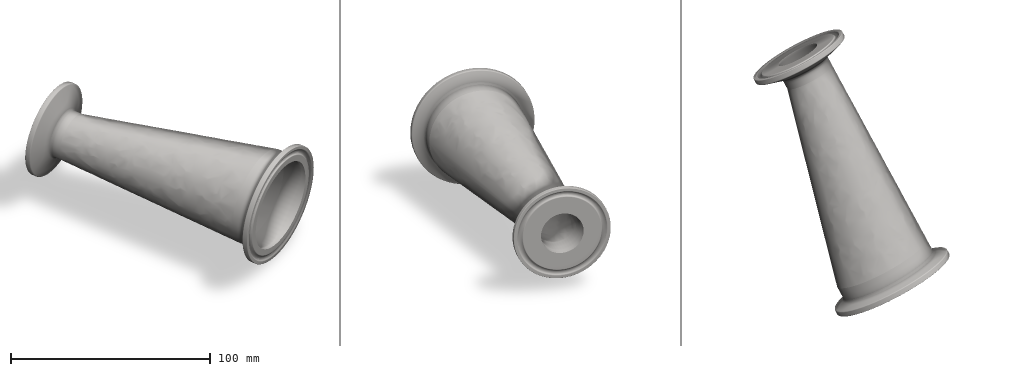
import cadquery as cq
import math


length = 127.0
wall = 1.7
ferrule_length = 12.7

small_flange_diameter = 50.4
small_tube_diameter = 25.4

large_flange_diameter = 63.9
large_tube_diameter = 50.8

rim_thickness = 2.8
back_angle = 20.0
rim_back_fillet = 0.6
rim_face_fillet = 0.3
neck_fillet = 1.3

groove_inset = 3.3
groove_width = 2.7
groove_depth = 1.0
groove_edge_fillet = 0.5

axis_shift = (large_tube_diameter - small_tube_diameter) / 2


def ring_edges(x, radius):
    """Selector for the edges in the plane at x, out to the given radius."""
    gap = 0.01
    reach = radius + gap
    return cq.selectors.BoxSelector((x - gap, -reach, -reach), (x + gap, reach, reach), boundingbox=True)


def gasket_groove(middle_radius):
    """Ring with a circular-arc section, sunk into the face at X = 0."""
    half_width = groove_width / 2
    return (
        cq.Workplane("XY")
        .moveTo(0, middle_radius - half_width)
        .threePointArc((groove_depth, middle_radius), (0, middle_radius + half_width))
        .close()
        .revolve(360, (0, 0, 0), (1, 0, 0))
    )


def ferrule(flange_diameter, tube_diameter):
    """Solid ferrule along X with its sealing face at X = 0, without the bore."""
    flange_radius = flange_diameter / 2
    tube_radius = tube_diameter / 2
    back_length = (flange_radius - tube_radius) * math.tan(math.radians(back_angle))
    neck_start = rim_thickness + back_length
    body = (
        cq.Workplane("XY")
        .polyline([
            (0, 0),
            (0, flange_radius),
            (rim_thickness, flange_radius),
            (neck_start, tube_radius),
            (ferrule_length, tube_radius),
            (ferrule_length, 0),
        ])
        .close()
        .revolve(360, (0, 0, 0), (1, 0, 0))
    )
    body = body.edges(ring_edges(neck_start, tube_radius)).fillet(neck_fillet)
    body = body.edges(ring_edges(rim_thickness, flange_radius)).fillet(rim_back_fillet)
    body = body.edges(ring_edges(0, flange_radius)).fillet(rim_face_fillet)
    groove_radius = flange_radius - groove_inset
    body = body.cut(gasket_groove(groove_radius))
    groove_lips = ring_edges(0, groove_radius + groove_width / 2)
    return body.edges(groove_lips).fillet(groove_edge_fillet)


def end_to_end(small_diameter, large_diameter):
    """Straight small end, oblique cone and straight large end, as one solid."""
    cone_length = length - 2 * ferrule_length
    small_end = cq.Workplane("YZ").circle(small_diameter / 2).extrude(ferrule_length)
    cone = (
        cq.Workplane("YZ", origin=(ferrule_length, 0, 0))
        .circle(small_diameter / 2)
        .workplane(offset=cone_length)
        .center(axis_shift, 0)
        .circle(large_diameter / 2)
        .loft(ruled=True)
    )
    large_end = (
        cq.Workplane("YZ", origin=(length - ferrule_length, axis_shift, 0))
        .circle(large_diameter / 2)
        .extrude(ferrule_length)
    )
    return small_end.union(cone).union(large_end)


small_ferrule = ferrule(small_flange_diameter, small_tube_diameter)
large_ferrule = (
    ferrule(large_flange_diameter, large_tube_diameter)
    .mirror("YZ")
    .translate((length, axis_shift, 0))
)
outside = end_to_end(small_tube_diameter, large_tube_diameter)
bore = end_to_end(small_tube_diameter - 2 * wall, large_tube_diameter - 2 * wall)

result = outside.union(small_ferrule).union(large_ferrule).cut(bore)